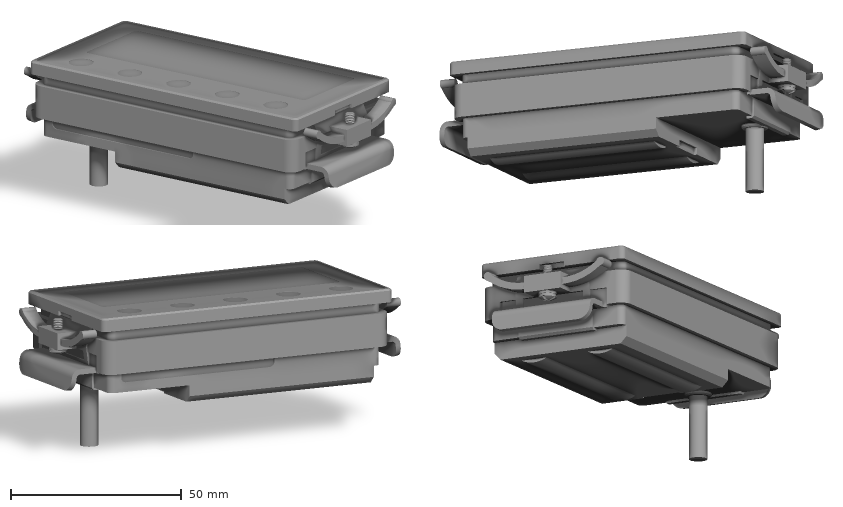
import cadquery as cq
import math


bezel_length = 96.0
bezel_width = 48.0
bezel_depth = 4.0
bezel_corner = 1.5
bezel_edge = 0.5
face_border = 1.4
face_corner = 1.0
face_recess = 0.2
mark_depth = 0.1
window_length = 78.8
window_width = 25.6
window_center_y = 5.3
window_corner = 1.2
button_count = 5
button_pitch = 17.5
button_y = -15.9
button_radius = 3.6
pry_notch_width = 8.4
pry_notch_height = 1.4
pry_notch_depth = 1.0

neck_length = 89.8
neck_width = 44.8
case_width = 44.3
case_corner = 1.9
case_bottom = -22.9
side_recess_left = -41.0
side_recess_right = 9.7
side_recess_height = 3.0
side_recess_depth = 0.5
side_recess_corner = 1.5
end_pad_reach = 45.6
end_pad_width = 24.8
end_pad_inner = 43.2
end_pad_bottom = -23.6
end_pad_chamfer = 0.7

back_left = -18.4
back_right = 42.6
back_bottom = -28.2
back_chamfer = 2.0
back_notch_width = 12.2
back_notch_height = 2.0
back_notch_depth = 1.0
rib_left = -14.6
rib_right = 38.6
rib_y = 11.1
rib_chord = 8.4
rib_height = 1.0

cable_x = -40.0
cable_radius = 2.7
cable_end = -42.7
collar_radius = 4.0
collar_height = 1.0
collar_chamfer = 0.4

frame_length = 94.2
frame_width = 48.4
frame_corner = 3.3
frame_top = -7.0
frame_bottom = -17.0
notch_width = 36.0
notch_top = -12.0

lever_base_width = 34.8
lever_base_thickness = 0.8
lever_base_bottom = -17.6
lever_plate_width = 24.8
lever_plate_thickness = 0.8
lever_tip = (45.4, -4.9)
lever_kink = (47.0, -8.2)
lever_foot = (46.0, -16.0)
lever_opening_width = 20.2
lever_opening_bottom = -14.9

wing_width = 32.9
wing_thickness = lever_foot[1] - lever_base_bottom
wing_reach = 55.0
wing_bend_radius = 2.7
wing_tilt = math.radians(9)
wing_leg = 4.4
wing_corner = 3.8

block_width = 12.2
block_inner = 47.0
block_outer = 53.6
spring_inner = 48.0
spring_outer = 52.6
spring_thickness = 2.0
spring_low = -9.7
spring_start_y = block_width / 2 + 0.4
spring_tip = (18.9, -5.3)
spring_tip_radius = 1.25

screw_x = (block_inner + block_outer) / 2
screw_radius = 1.4
thread_depth = 0.2
thread_turns = 16
screw_tip = -bezel_depth
head_radius = 2.65
head_rim = 1.6
head_groove_offset = 0.7
head_groove_width = 0.4
head_groove_depth = 0.2
head_dome = 0.8
head_slot_width = 0.8
head_slot_depth = 1.0


def box(x0, x1, width, z0, z1):
    """Box between two X and two Z positions, centred on Y = 0."""
    return cq.Workplane("XY").box(x1 - x0, width, z1 - z0, centered=False).translate((x0, -width / 2, z0))


def rounded_block(length, width, z0, z1, corner):
    """Centred block with rounded vertical edges."""
    return box(-length / 2, length / 2, width, z0, z1).edges("|Z").fillet(corner)


def at_both_ends(feature):
    """The +X feature together with its mirror image at -X."""
    return feature.union(feature.mirror("YZ"))


def make_bezel():
    bezel = rounded_block(bezel_length, bezel_width, -bezel_depth, 0, bezel_corner)
    bezel = bezel.faces(">Z").chamfer(bezel_edge)
    face_length = bezel_length - 2 * face_border
    face_width = bezel_width - 2 * face_border
    bezel = bezel.cut(rounded_block(face_length, face_width, -face_recess, 0, face_corner))

    mark_floor = -face_recess - mark_depth
    window = rounded_block(window_length, window_width, mark_floor, 0, window_corner)
    bezel = bezel.cut(window.translate((0, window_center_y, 0)))
    buttons = (
        cq.Workplane("XY", origin=(0, button_y, mark_floor))
        .rarray(button_pitch, 1, button_count, 1)
        .circle(button_radius)
        .extrude(mark_depth)
    )
    bezel = bezel.cut(buttons)

    notch_x = bezel_length / 2 - pry_notch_depth
    pry_notch = box(notch_x, bezel_length / 2, pry_notch_width, -bezel_depth, pry_notch_height - bezel_depth)
    return bezel.cut(at_both_ends(pry_notch))


def make_side_recess():
    """Shallow recess in the -Y wall, running up under the frame."""
    recess = cq.Workplane("XY").box(
        side_recess_right - side_recess_left, side_recess_depth, side_recess_height, centered=False
    )
    recess = recess.edges("|Y and <Z").fillet(side_recess_corner)
    return recess.translate((side_recess_left, -case_width / 2, frame_bottom - side_recess_height))


def make_back_box():
    """Deeper part of the housing, with a notch in its -X end and two rounded ribs on its back."""
    back = box(back_left, back_right, case_width, back_bottom, case_bottom)
    back = back.faces("<Z").edges("|X").chamfer(back_chamfer)
    notch_end = back_left + back_notch_depth
    back = back.cut(box(back_left, notch_end, back_notch_width, back_bottom, back_bottom + back_notch_height))
    half_chord = rib_chord / 2
    for side in (-1, 1):
        rib = (
            cq.Workplane("YZ", origin=(rib_left, side * rib_y, back_bottom))
            .moveTo(-half_chord, 0)
            .threePointArc((0, -rib_height), (half_chord, 0))
            .close()
            .extrude(rib_right - rib_left)
        )
        back = back.union(rib)
    return back


def make_cable():
    """Cable with the chamfered collar where it leaves the housing."""
    collar = cq.Workplane("XY", origin=(cable_x, 0, case_bottom)).circle(collar_radius).extrude(-collar_height)
    collar = collar.faces("<Z").chamfer(collar_chamfer)
    cable = cq.Workplane("XY", origin=(cable_x, 0, case_bottom)).circle(cable_radius)
    return collar.union(cable.extrude(cable_end - case_bottom))


def make_housing():
    neck = rounded_block(neck_length, neck_width, frame_bottom, -bezel_depth, case_corner)
    case = rounded_block(neck_length, case_width, case_bottom, frame_bottom, case_corner)
    end_pad = box(end_pad_inner, end_pad_reach, end_pad_width, end_pad_bottom, notch_top)
    end_pad = end_pad.edges("|Y and >X and <Z").chamfer(end_pad_chamfer)
    case = case.cut(make_side_recess())
    housing = make_bezel().union(neck).union(case).union(at_both_ends(end_pad))
    return housing.union(make_back_box()).union(make_cable())


def make_wing():
    """Finger tab: flat out from the frame, then bent down along a leg with rounded corners."""
    leg_x, leg_z = math.sin(wing_tilt), -math.cos(wing_tilt)
    out_x, out_z = -leg_z, leg_x
    inner_radius = wing_bend_radius - wing_thickness
    center_x = wing_reach - wing_leg * leg_x - wing_bend_radius * out_x
    center_z = lever_foot[1] - wing_bend_radius
    middle = (math.pi / 2 + wing_tilt) / 2

    def on_bend(radius, angle):
        return (center_x + radius * math.cos(angle), center_z + radius * math.sin(angle))

    bend_end_outer = (center_x + wing_bend_radius * out_x, center_z + wing_bend_radius * out_z)
    bend_end_inner = (center_x + inner_radius * out_x, center_z + inner_radius * out_z)
    wing = (
        cq.Workplane("XZ")
        .moveTo(end_pad_reach, lever_foot[1])
        .lineTo(center_x, lever_foot[1])
        .threePointArc(on_bend(wing_bend_radius, middle), bend_end_outer)
        .line(wing_leg * leg_x, wing_leg * leg_z)
        .lineTo(bend_end_inner[0] + wing_leg * leg_x, bend_end_inner[1] + wing_leg * leg_z)
        .lineTo(*bend_end_inner)
        .threePointArc(on_bend(inner_radius, middle), (center_x, lever_base_bottom))
        .lineTo(end_pad_reach, lever_base_bottom)
        .close()
        .extrude(wing_width / 2, both=True)
    )
    across_leg_end = cq.selectors.ParallelDirSelector(cq.Vector(out_x, 0, out_z))
    return wing.edges(across_leg_end).fillet(wing_corner)


def make_lever():
    """Release lever at +X: base plate, kinked upright with an opening, and finger wing."""
    base_outer = end_pad_reach + lever_base_thickness
    base = box(end_pad_reach, base_outer, lever_base_width, lever_base_bottom, notch_top)
    plate = (
        cq.Workplane("XZ")
        .polyline([
            lever_tip,
            lever_kink,
            lever_foot,
            (lever_foot[0] + lever_plate_thickness, lever_foot[1]),
            (lever_kink[0] + lever_plate_thickness, lever_kink[1]),
            (lever_tip[0] + lever_plate_thickness, lever_tip[1]),
        ])
        .close()
        .extrude(lever_plate_width / 2, both=True)
    )
    opening = box(base_outer, block_outer, lever_opening_width, lever_opening_bottom, notch_top)
    return base.union(plate.cut(opening)).union(make_wing())


def make_spring_arm():
    """+Y half of the leaf spring: an arc rising from the screw block to a round tip."""
    run = spring_tip[0] - spring_start_y
    rise = spring_tip[1] - spring_low
    radius = (run**2 + rise**2) / (2 * rise)
    sweep = math.asin(run / radius)
    inner = radius - spring_thickness / 2
    outer = radius + spring_thickness / 2
    center_z = spring_low + radius

    def on_arc(arc_radius, angle):
        return (spring_start_y + arc_radius * math.sin(angle), center_z - arc_radius * math.cos(angle))

    width = spring_outer - spring_inner
    leaf = (
        cq.Workplane("YZ", origin=(spring_inner, 0, 0))
        .moveTo(0, center_z - inner)
        .lineTo(*on_arc(inner, 0))
        .threePointArc(on_arc(inner, sweep / 2), on_arc(inner, sweep))
        .lineTo(*on_arc(outer, sweep))
        .threePointArc(on_arc(outer, sweep / 2), on_arc(outer, 0))
        .lineTo(0, center_z - outer)
        .close()
        .extrude(width)
    )
    tip = cq.Workplane("YZ", origin=(spring_inner, 0, 0)).center(*spring_tip).circle(spring_tip_radius)
    return leaf.union(tip.extrude(width))


def make_screw():
    """Jack screw at +X, threaded upward, with a domed cross-slotted head below the block."""
    thread_pitch = (screw_tip - notch_top) / thread_turns
    root = screw_radius - thread_depth
    profile = cq.Workplane("XZ").moveTo(0, screw_tip).lineTo(root, screw_tip)
    for turn in range(thread_turns):
        crest_z = screw_tip - (turn + 0.5) * thread_pitch
        profile = profile.lineTo(screw_radius, crest_z).lineTo(root, crest_z - thread_pitch / 2)
    groove_z = notch_top - head_groove_offset
    rim_z = notch_top - head_rim
    dome_z = rim_z - head_dome
    dome_radius = (head_radius**2 + head_dome**2) / (2 * head_dome)
    mid_r = head_radius / 2
    mid_z = dome_z + dome_radius - math.sqrt(dome_radius**2 - mid_r**2)
    screw = (
        profile.lineTo(head_radius, notch_top)
        .lineTo(head_radius, groove_z)
        .lineTo(head_radius - head_groove_depth, groove_z)
        .lineTo(head_radius - head_groove_depth, groove_z - head_groove_width)
        .lineTo(head_radius, groove_z - head_groove_width)
        .lineTo(head_radius, rim_z)
        .threePointArc((mid_r, mid_z), (0, dome_z))
        .close()
        .revolve(360, (0, 0, 0), (0, 1, 0))
    )
    slot = cq.Workplane("XY", origin=(0, 0, dome_z))
    slot_height = 2 * head_slot_depth
    slot_length = 2 * head_radius
    for slot_x, slot_y in ((slot_length, head_slot_width), (head_slot_width, slot_length)):
        screw = screw.cut(slot.box(slot_x, slot_y, slot_height))
    return screw.translate((screw_x, 0, 0))


def make_frame(screws):
    ring = rounded_block(frame_length, frame_width, frame_bottom, frame_top, frame_corner)
    opening = rounded_block(neck_length, neck_width, frame_bottom, frame_top, case_corner)
    notches = box(-frame_length / 2, frame_length / 2, notch_width, frame_bottom, notch_top)
    ring = ring.cut(opening).cut(notches)

    arm = make_spring_arm()
    block = box(block_inner, block_outer, block_width, notch_top, frame_top)
    clamp = make_lever().union(block).union(arm).union(arm.mirror("XZ"))
    frame = ring.union(at_both_ends(clamp))
    for screw in screws:
        frame = frame.cut(screw)
    return frame


screw = make_screw()
screws = [screw, screw.mirror("YZ")]
frame = make_frame(screws)
housing = make_housing()

result = cq.Compound.makeCompound([housing.val(), frame.val(), *[body.val() for body in screws]])